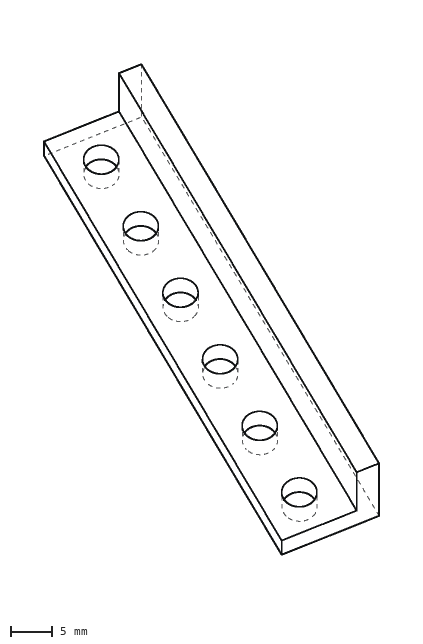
import cadquery as cq

length = 65.0
depth = 13.0
height = 11.0
thickness = 3.0

hole_count = 6
hole_diameter = 4.2
hole_pitch = length / hole_count
flange_width = depth - thickness
hole_y = flange_width / 2

base = cq.Workplane("XY").box(length, depth, thickness, centered=False)
wall = (
    cq.Workplane("XY")
    .box(length, thickness, height, centered=False)
    .translate((0, flange_width, 0))
)

hole_centers = [((index + 0.5) * hole_pitch, hole_y) for index in range(hole_count)]
holes = (
    cq.Workplane("XY")
    .pushPoints(hole_centers)
    .circle(hole_diameter / 2)
    .extrude(thickness)
)

result = base.union(wall).cut(holes)